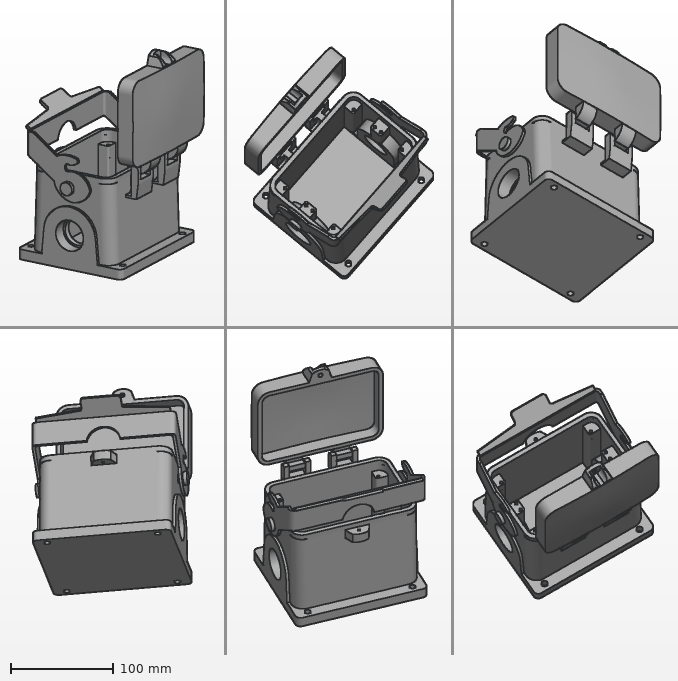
import cadquery as cq
import math


SIDES = (-1, 1)

flange_length = 119.8
flange_width = 137.5
flange_height = 10.7
flange_corner = 5.5
screw_hole_radius = 3.0
screw_x = 52.9
screw_y = 55.0

rim_z = 100.0
collar_z = 94.5
wall_half_x = 45.2
foot_half_x = 47.8
wall_half_y = 65.7
wall_corner = 12.6

cavity_half_x = 40.2
cavity_half_y = 61.3
cavity_corner = 8.3
floor_z = 5.5
ledge_y = 48.3

entry_z = 35.2
entry_radius = 15.9
entry_lip_radius = 14.0
entry_lip = 6.5
entry_boss_radius = 23.7
pad_radius = 29.8
pad_half_foot = 32.2

corner_post_x = 28.3
post_top = 87.7
middle_post_half = 7.0
post_edge = 2.0
post_hole_radius = 1.5
post_hole_depth = 13.0
post_hole_y = 51.8
corner_hole_x = 30.9
middle_hole_x = 4.1

lug_top = collar_z
lug_bottom = 84.5
lug_nose_x = -56.5
lug_shoulder_x = -54.5
lug_shoulder_y = 8.5
lug_root_y = 12.8
lug_hole_x = -50.0
lug_hole_radius = 1.3

pin_z = 85.5
pin_radius = 4.1
head_radius = 6.7
head_y = 75.3

bracket_y = 24.8
bracket_width = 27.8
bracket_inner_x = 52.2
bracket_outer_x = 60.2
bracket_foot_x = 58.3
bracket_top = 109.0
bracket_bottom = 74.8
bracket_taper_z = 90.5
bracket_round = 3.7
slot_width = 17.2
shelf_top = 77.2
rib_width = 7.0
rib_fillet = 4.0
hinge_bar_x = 54.0
hinge_bar_bottom = 100.5
hinge_bar_top = 106.5

cover_inner_x = 53.7
cover_peak_x = 74.5
cover_back_x = 71.8
cover_bottom = 115.5
cover_top = 204.9
cover_half_y = 65.7
cover_corner = 12.2
cover_rim = 4.4
cover_pocket_corner = 7.8
cover_skin = 4.8
crown_slope = 0.05
cover_mid_z = (cover_bottom + cover_top) / 2
arm_tip_z = 100.0
arm_bulge_x = 68.7
arm_bulge_z = 106.0
arm_shoulder = 2.2

tab_half_root = 12.0
tab_half_top = 9.0
tab_shoulder_z = 214.2
tab_top = 217.5
tab_plate = 4.4
tab_back_x = 72.0
tab_crest_x = 62.2
tab_crest_z = 215.8
tab_slope_x = 68.0
tab_slope_z = 211.6
tab_back_z = 206.6
tab_hole_z = 210.8
tab_hole_radius = 2.2
tab_channel_radius = 6.3

sheet = 2.8
lever_front_x = -48.7
lever_back_x = 26.0
lever_half_y = 71.3
lever_bend = 5.2
strap_top = 135.5
strap_bottom = 110.7
strap_arch_radius = 17.0
strap_arch_top = 124.6
lip_angle = 35.0
lip_half_y = 66.8
lip_end_length = 4.0
lip_middle_length = 8.3
lip_middle_y = 23.5
lip_inner_corner = 2.6
lip_tab_half = 20.0
lip_tab_length = 21.5
lip_corner = 3.3
lip_overlap = 1.3


def box(x_range, y_range, z_range):
    """Box given by its limits along each axis."""
    return cq.Workplane("XY").box(
        x_range[1] - x_range[0], y_range[1] - y_range[0], z_range[1] - z_range[0], centered=False
    ).translate((x_range[0], y_range[0], z_range[0]))


def rounded_block(half_x, half_y, corner, bottom, top):
    """Upright block centred on the Z axis, with rounded vertical edges."""
    block = box((-half_x, half_x), (-half_y, half_y), (bottom, top))
    return block.edges("|Z").fillet(corner)


def rod_along_y(radius, x, z, y_start, y_end):
    """Cylinder parallel to Y."""
    low, high = sorted((y_start, y_end))
    return cq.Workplane("XZ", origin=(x, low, z)).circle(radius).extrude(low - high)


def extrude_across_y(outline, y_start, y_end):
    """Extrude an outline drawn in the XZ plane between two Y positions."""
    return outline.extrude(y_start - y_end).translate((0, y_start, 0))


def make_shell():
    """Flange and walls, still solid inside."""
    flange = rounded_block(flange_length / 2, flange_width / 2, flange_corner, 0, flange_height)
    screw_holes = (
        cq.Workplane("XY")
        .rect(2 * screw_x, 2 * screw_y, forConstruction=True)
        .vertices()
        .circle(screw_hole_radius)
        .extrude(flange_height)
    )
    wall_outline = (
        cq.Workplane("XZ")
        .moveTo(-foot_half_x, flange_height)
        .lineTo(-wall_half_x, collar_z)
        .lineTo(wall_half_x, collar_z)
        .lineTo(foot_half_x, flange_height)
        .close()
    )
    walls = extrude_across_y(wall_outline, -wall_half_y, wall_half_y)
    walls = walls.faces("<Y or >Y").edges("not |X").fillet(wall_corner)
    collar = rounded_block(wall_half_x, wall_half_y, wall_corner, collar_z, rim_z)
    return flange.cut(screw_holes).union(walls).union(collar)


def make_entry_pads():
    """Arched pads around the cable entries, their straight flanks tangent to the arch."""
    drop = entry_z - flange_height
    reach = math.hypot(pad_half_foot, drop)
    tangent_angle = math.acos(pad_radius / reach) - math.atan2(drop, pad_half_foot)
    tangent_x = pad_radius * math.cos(tangent_angle)
    tangent_z = entry_z + pad_radius * math.sin(tangent_angle)
    outline = (
        cq.Workplane("XZ")
        .moveTo(-pad_half_foot, flange_height)
        .lineTo(-tangent_x, tangent_z)
        .threePointArc((0, entry_z + pad_radius), (tangent_x, tangent_z))
        .lineTo(pad_half_foot, flange_height)
        .close()
    )
    return extrude_across_y(outline, -flange_width / 2, flange_width / 2)


def make_end_fittings(side):
    """Ledge, cable entry boss and screw posts at one Y end of the cavity."""
    inner, outer = sorted((side * ledge_y, side * wall_half_y))
    y_range = (inner, outer)
    fittings = box((-cavity_half_x, cavity_half_x), y_range, (floor_z, flange_height))
    fittings = fittings.union(rod_along_y(entry_boss_radius, 0, entry_z, inner, outer))
    boss_flanks = (-entry_boss_radius, entry_boss_radius)
    fittings = fittings.union(box(boss_flanks, y_range, (floor_z, entry_z)))

    inward = "<Y" if side > 0 else ">Y"
    middle_post = box((-middle_post_half, middle_post_half), y_range, (entry_z, post_top))
    fittings = fittings.union(middle_post.edges("|Z").edges(inward).fillet(post_edge))
    for x_side in SIDES:
        x_range = sorted((x_side * corner_post_x, x_side * cavity_half_x))
        free_edge = "<X" if x_side > 0 else ">X"
        post = box(x_range, y_range, (floor_z, post_top))
        post = post.edges("|Z").edges(inward).edges(free_edge).fillet(post_edge)
        fittings = fittings.union(post)
        for x in (corner_hole_x, middle_hole_x):
            hole = cq.Workplane("XY", origin=(x_side * x, side * post_hole_y, post_top))
            fittings = fittings.cut(hole.circle(post_hole_radius).extrude(-post_hole_depth))
    return fittings.intersect(rounded_block(cavity_half_x, wall_half_y, wall_corner, floor_z, rim_z))


def make_stop_lug():
    """Round-nosed lug with a small vertical hole."""
    root_x = -(wall_half_x + cavity_half_x) / 2
    return (
        cq.Workplane("XY", origin=(0, 0, lug_bottom))
        .moveTo(root_x, -lug_root_y)
        .lineTo(-wall_half_x, -lug_root_y)
        .lineTo(lug_shoulder_x, -lug_shoulder_y)
        .threePointArc((lug_nose_x, 0), (lug_shoulder_x, lug_shoulder_y))
        .lineTo(-wall_half_x, lug_root_y)
        .lineTo(root_x, lug_root_y)
        .close()
        .moveTo(lug_hole_x, 0)
        .circle(lug_hole_radius)
        .extrude(lug_top - lug_bottom)
    )


def make_lever_pin(side):
    """Headed pin that carries the lever on one side wall."""
    root_y = (wall_half_y + cavity_half_y) / 2
    shank = rod_along_y(pin_radius, 0, pin_z, side * root_y, side * head_y)
    head = rod_along_y(head_radius, 0, pin_z, side * lever_half_y, side * head_y)
    return shank.union(head)


def make_bracket(y_centre):
    """Hinge bracket: slotted upright on a shelf, with a filleted rib back to the wall."""
    half = bracket_width / 2
    root_x = (wall_half_x + cavity_half_x) / 2
    upright_outline = (
        cq.Workplane("XZ")
        .moveTo(bracket_inner_x, bracket_bottom)
        .lineTo(bracket_foot_x, bracket_bottom)
        .lineTo(bracket_outer_x, bracket_taper_z)
        .lineTo(bracket_outer_x, bracket_top)
        .lineTo(bracket_inner_x, bracket_top)
        .close()
    )
    upright = extrude_across_y(upright_outline, -half, half)
    upright = upright.edges(">X and >Z").fillet(bracket_round)
    slot = box(
        (bracket_inner_x, bracket_outer_x), (-slot_width / 2, slot_width / 2), (collar_z, bracket_top)
    )
    upright = upright.cut(slot)

    rib_half = rib_width / 2
    fillet_y = rib_half + rib_fillet
    fillet_z = shelf_top + rib_fillet
    sag = rib_fillet * (1 - math.sqrt(0.5))
    rib = (
        cq.Workplane("YZ", origin=(root_x, 0, 0))
        .moveTo(-half, bracket_bottom)
        .lineTo(half, bracket_bottom)
        .lineTo(half, shelf_top)
        .lineTo(fillet_y, shelf_top)
        .threePointArc((rib_half + sag, shelf_top + sag), (rib_half, fillet_z))
        .lineTo(rib_half, collar_z)
        .lineTo(-rib_half, collar_z)
        .lineTo(-rib_half, fillet_z)
        .threePointArc((-rib_half - sag, shelf_top + sag), (-fillet_y, shelf_top))
        .lineTo(-half, shelf_top)
        .close()
        .extrude(bracket_inner_x - root_x)
    )
    return upright.union(rib).translate((0, y_centre, 0))


def make_cover_arm(y_centre):
    """Curved cover arm with the hinge bar that sits in a bracket slot."""
    outline = (
        cq.Workplane("XZ")
        .moveTo(bracket_outer_x, cover_bottom + cover_rim)
        .lineTo(bracket_outer_x, arm_tip_z)
        .threePointArc((arm_bulge_x, arm_bulge_z), (cover_back_x, cover_bottom - arm_shoulder))
        .lineTo(cover_back_x, cover_bottom + cover_rim)
        .close()
    )
    half = slot_width / 2
    arm = extrude_across_y(outline, -half, half)
    bar = box((hinge_bar_x, bracket_outer_x), (-half, half), (hinge_bar_bottom, hinge_bar_top))
    return arm.union(bar).translate((0, y_centre, 0))


def make_crown_cone(peak_x):
    """Shallow cone that peaks in the middle of the cover and fills everything behind its face."""
    reach = 2 * cover_half_y
    edge_x = peak_x - crown_slope * reach
    return (
        cq.Workplane("XY", origin=(0, 0, cover_mid_z))
        .moveTo(0, 0)
        .lineTo(0, reach)
        .lineTo(edge_x, reach)
        .lineTo(peak_x, 0)
        .close()
        .revolve(360, (0, 0, 0), (1, 0, 0))
    )


def make_pull_tab():
    """Drilled tab on top of the cover, with an open channel behind its front plate."""
    tab = (
        cq.Workplane("YZ", origin=(cover_inner_x, 0, 0))
        .moveTo(-tab_half_root, cover_top)
        .lineTo(-tab_half_top, tab_shoulder_z)
        .threePointArc((0, tab_top), (tab_half_top, tab_shoulder_z))
        .lineTo(tab_half_root, cover_top)
        .close()
        .extrude(tab_back_x - cover_inner_x)
    )
    side_outline = (
        cq.Workplane("XZ")
        .moveTo(cover_inner_x, cover_top)
        .lineTo(cover_inner_x, tab_top)
        .lineTo(cover_inner_x + tab_plate, tab_top)
        .lineTo(tab_crest_x, tab_crest_z)
        .threePointArc((tab_slope_x, tab_slope_z), (tab_back_x, tab_back_z))
        .lineTo(tab_back_x, cover_top)
        .close()
    )
    tab = tab.intersect(extrude_across_y(side_outline, -tab_half_root, tab_half_root))
    channel_start = cover_inner_x + tab_plate
    channel = (
        cq.Workplane("YZ", origin=(channel_start, 0, tab_hole_z))
        .circle(tab_channel_radius)
        .extrude(tab_back_x - channel_start)
    )
    channel = channel.union(box(
        (channel_start, tab_back_x), (-tab_channel_radius, tab_channel_radius), (tab_hole_z, tab_top)
    ))
    hole = (
        cq.Workplane("YZ", origin=(cover_inner_x, 0, tab_hole_z))
        .circle(tab_hole_radius)
        .extrude(tab_plate)
    )
    return tab.cut(channel).cut(hole)


def make_cover():
    """Shallow crowned tray, open towards -X."""
    z_range = (cover_bottom, cover_top)
    y_range = (-cover_half_y, cover_half_y)
    tray = box((cover_inner_x, cover_peak_x), y_range, z_range)
    tray = tray.edges("|X").fillet(cover_corner).intersect(make_crown_cone(cover_peak_x))
    pocket = box(
        (cover_inner_x, cover_peak_x),
        (-cover_half_y + cover_rim, cover_half_y - cover_rim),
        (cover_bottom + cover_rim, cover_top - cover_rim),
    )
    pocket = pocket.edges("|X").fillet(cover_pocket_corner)
    pocket = pocket.intersect(make_crown_cone(cover_peak_x - cover_skin))
    arms = make_cover_arm(-bracket_y).union(make_cover_arm(bracket_y))
    return tray.union(arms).union(make_pull_tab()).cut(pocket)


def make_housing():
    """Housing with its lever pins, hinge brackets and cover, as one body."""
    cavity = rounded_block(cavity_half_x, cavity_half_y, cavity_corner, floor_z, rim_z)
    body = make_shell().union(make_entry_pads()).cut(cavity)
    bore_end = flange_width / 2
    for side in SIDES:
        body = body.union(make_end_fittings(side))
        lip_y = side * (ledge_y + entry_lip)
        body = body.cut(rod_along_y(entry_radius, 0, entry_z, lip_y, side * bore_end))
        body = body.union(make_lever_pin(side))
        body = body.union(make_bracket(side * bracket_y))
    body = body.cut(rod_along_y(entry_lip_radius, 0, entry_z, -bore_end, bore_end))
    return body.union(make_stop_lug()).union(make_cover())


def make_lever_outline():
    """Side outline of the lever: sloping arm, catch hook and pivot lobe."""
    arm_top_front = (-40.2, strap_top)
    arm_top_back = (-13.3, 116.1)
    hook_crown = (-0.9, 119.0)
    hook_nose_top = (9.1, 117.2)
    hook_nose = (10.9, 114.2)
    hook_nose_bottom = (8.5, 111.5)
    hook_belly = (3.5, 109.6)
    catch_top = (-1.0, 110.5)
    catch_depth = (-4.0, 106.5)
    catch_bottom = (-1.7, 102.5)
    lobe_top = (5.7, 103.3)
    lobe_upper_back = (19.0, 97.9)
    lobe_back = (25.0, 86.3)
    lobe_lower_back = (19.1, 77.0)
    lobe_bottom = (5.0, 71.3)
    lobe_lower_front = (-9.5, 77.6)
    lobe_front = (-16.3, 89.8)
    arm_bottom_front = (-46.1, strap_bottom)
    return (
        cq.Workplane("XZ")
        .moveTo(lever_front_x, strap_bottom)
        .lineTo(lever_front_x, strap_top)
        .lineTo(*arm_top_front)
        .lineTo(*arm_top_back)
        .threePointArc(hook_crown, hook_nose_top)
        .threePointArc(hook_nose, hook_nose_bottom)
        .threePointArc(hook_belly, catch_top)
        .threePointArc(catch_depth, catch_bottom)
        .lineTo(*lobe_top)
        .threePointArc(lobe_upper_back, lobe_back)
        .threePointArc(lobe_lower_back, lobe_bottom)
        .threePointArc(lobe_lower_front, lobe_front)
        .lineTo(*arm_bottom_front)
        .close()
    )


def make_lip():
    """Finger lip bent outward from the top of the strap."""
    lip = (
        cq.Workplane("XY")
        .moveTo(lip_overlap, -lip_half_y)
        .lineTo(-lip_end_length, -lip_half_y)
        .lineTo(-lip_middle_length, -lip_middle_y)
        .lineTo(-lip_middle_length, -lip_tab_half)
        .lineTo(-lip_tab_length, -lip_tab_half)
        .lineTo(-lip_tab_length, lip_tab_half)
        .lineTo(-lip_middle_length, lip_tab_half)
        .lineTo(-lip_middle_length, lip_middle_y)
        .lineTo(-lip_end_length, lip_half_y)
        .lineTo(lip_overlap, lip_half_y)
        .close()
        .extrude(sheet)
    )
    lip = lip.edges("|Z and <X").fillet(lip_corner)
    for side in SIDES:
        corner_point = (-lip_middle_length, side * lip_tab_half, sheet / 2)
        inner_corner = cq.selectors.NearestToPointSelector(corner_point)
        lip = lip.edges("|Z").edges(inner_corner).fillet(lip_inner_corner)
    return lip.rotate((0, 0, 0), (0, 1, 0), lip_angle).translate((lever_front_x, 0, strap_top))


def make_lever():
    """Sheet bail with two pivot arms, an arched front strap and a finger lip."""
    z_range = (0, strap_top)
    outer = box((lever_front_x, lever_back_x), (-lever_half_y, lever_half_y), z_range)
    outer = outer.edges("|Z and <X").fillet(lever_bend)
    inner_half = lever_half_y - sheet
    inner = box((lever_front_x + sheet, lever_back_x), (-inner_half, inner_half), z_range)
    inner = inner.edges("|Z and <X").fillet(lever_bend - sheet)
    profile = extrude_across_y(make_lever_outline(), -lever_half_y, lever_half_y)
    lever = outer.cut(inner).intersect(profile)
    arch = (
        cq.Workplane("YZ", origin=(lever_front_x, 0, strap_arch_top - strap_arch_radius))
        .circle(strap_arch_radius)
        .extrude(sheet)
    )
    pivot_holes = rod_along_y(pin_radius, 0, pin_z, -lever_half_y, lever_half_y)
    return lever.cut(arch).union(make_lip()).cut(pivot_holes)


housing = make_housing().solids().val()
lever = make_lever().solids().val()

result = cq.Compound.makeCompound([housing, lever])